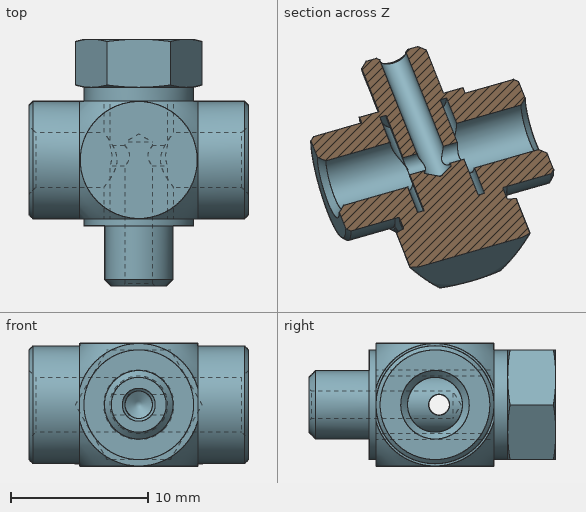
import cadquery as cq
import math


block_width = 8.6
block_height = 9.0
corner_sphere_radius = 6.2

arm_span = 16.0
arm_diameter = block_width
arm_chamfer = 0.3
arm_bore_diameter = 4.0
arm_bore_chamfer = 0.5

collar_diameter = 8.0
front_collar_thickness = 0.5
rear_collar_thickness = 1.0

head_across_flats = 8.0
head_length = 3.5
head_chamfer_angle = 15.0

stud_diameter = 5.0
stud_length = 4.4
stud_chamfer = 0.5
neck_diameter = 4.2
chamber_diameter = 5.1

bolt_hole_diameter = 2.0
bolt_hole_chamfer = 0.2
drill_tip_angle = 118.0
cross_hole_diameter = 1.5
cross_hole_y = 0.3

block_face = block_width / 2
front_collar_face = -block_face - front_collar_thickness
stud_end = front_collar_face - stud_length
head_start = block_face + rear_collar_thickness
head_end = head_start + head_length
bolt_hole_end = cross_hole_y + bolt_hole_diameter / 2


def cylinder_along_x(diameter, x_start, x_end, y=0.0):
    """Round bar parallel to X between two X positions."""
    return cq.Workplane("YZ", origin=(x_start, y, 0)).circle(diameter / 2).extrude(x_end - x_start)


def cylinder_along_y(diameter, y_start, y_end):
    """Round bar on the Y axis between two Y positions."""
    plane = cq.Plane(origin=(0, y_start, 0), xDir=(1, 0, 0), normal=(0, 1, 0))
    return cq.Workplane(plane).circle(diameter / 2).extrude(y_end - y_start)


def revolve_about_y(points):
    """Solid of revolution about the Y axis from (radius, y) points."""
    return cq.Workplane("XY").polyline(points).close().revolve(360, (0, 0, 0), (0, 1, 0))


def make_block():
    box = cq.Workplane("XY").box(block_width, block_width, block_height)
    return box.intersect(cq.Workplane("XY").sphere(corner_sphere_radius))


def make_arms():
    bar = cylinder_along_x(arm_diameter, -arm_span / 2, arm_span / 2)
    return bar.faces("<X or >X").chamfer(arm_chamfer)


def make_arm_bores():
    """Cutter for both arm bores, widened at the mouths and meeting at the middle."""
    bar = cylinder_along_x(arm_bore_diameter, -arm_span / 2, arm_span / 2)
    mouth_radius = arm_bore_diameter / 2 + arm_bore_chamfer
    for side in (-1, 1):
        outer_x = side * arm_span / 2
        inner_x = outer_x - side * arm_bore_chamfer
        profile = [
            (outer_x, 0),
            (outer_x, mouth_radius),
            (inner_x, arm_bore_diameter / 2),
            (inner_x, 0),
        ]
        mouth = cq.Workplane("XZ").polyline(profile).close().revolve(360, (0, 0, 0), (1, 0, 0))
        bar = bar.union(mouth)
    return bar


def make_head():
    """Hexagon with flats facing Z, corners turned off at both ends."""
    across_corners = head_across_flats / math.cos(math.radians(30))
    plane = cq.Plane(origin=(0, head_start, 0), xDir=(1, 0, 0), normal=(0, 1, 0))
    hexagon = cq.Workplane(plane).polygon(6, across_corners).extrude(head_length)
    flat_radius = head_across_flats / 2
    corner_radius = across_corners / 2
    drop = (corner_radius - flat_radius) * math.tan(math.radians(head_chamfer_angle))
    turned_blank = revolve_about_y([
        (0, head_start),
        (flat_radius, head_start),
        (corner_radius, head_start + drop),
        (corner_radius, head_end - drop),
        (flat_radius, head_end),
        (0, head_end),
    ])
    return hexagon.intersect(turned_blank)


def make_stud():
    bar = cylinder_along_y(stud_diameter, stud_end, front_collar_face)
    return bar.faces("<Y").chamfer(stud_chamfer)


def make_bolt_hole():
    """Cutter for the blind hole: chamfered mouth, straight wall, conical tip."""
    radius = bolt_hole_diameter / 2
    tip_depth = radius / math.tan(math.radians(drill_tip_angle / 2))
    return revolve_about_y([
        (0, stud_end),
        (radius + bolt_hole_chamfer, stud_end),
        (radius, stud_end + bolt_hole_chamfer),
        (radius, bolt_hole_end),
        (0, bolt_hole_end + tip_depth),
    ])


chamber = cylinder_along_y(chamber_diameter, -block_face, block_face)
housing = make_block().union(make_arms()).cut(make_arm_bores()).cut(chamber)

front_collar = cylinder_along_y(collar_diameter, front_collar_face, -block_face)
rear_collar = cylinder_along_y(collar_diameter, block_face, head_start)
neck = cylinder_along_y(neck_diameter, -block_face, block_face)
bolt = make_stud().union(front_collar).union(neck).union(rear_collar).union(make_head())

cross_hole = cylinder_along_x(cross_hole_diameter, -neck_diameter / 2, neck_diameter / 2, cross_hole_y)
bolt = bolt.cut(make_bolt_hole()).cut(cross_hole)

result = housing.union(bolt)